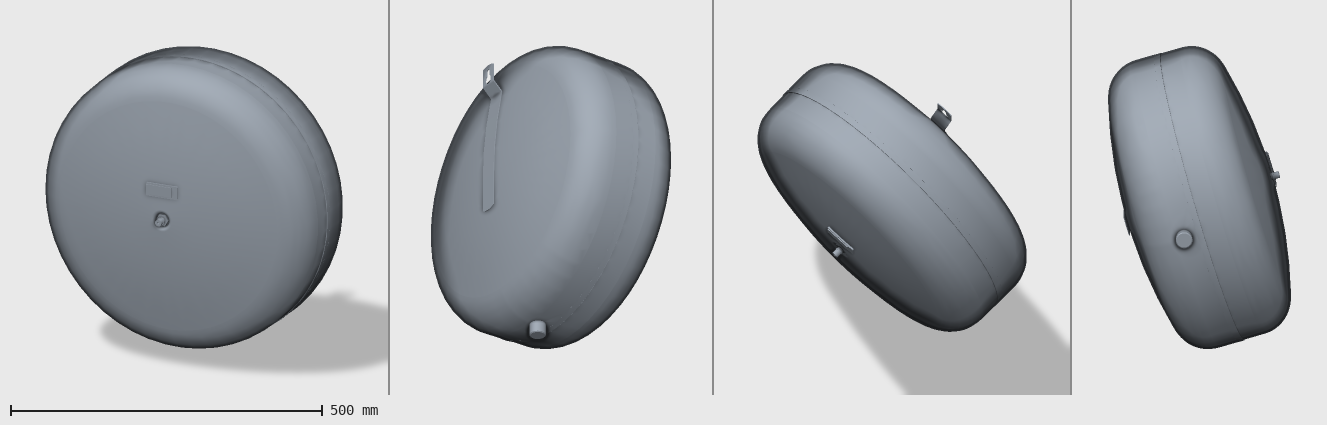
import cadquery as cq
import math

BACK_RADIUS = 240.0
FRONT_RADIUS = 239.0
BACK_WALL_END = 43.0
BACK_KNUCKLE_END = 100.5
FRONT_WALL_END = -34.0
FRONT_KNUCKLE_END = -90.0
DOME_RIM_RADIUS = 193.5
DOME_RISE = 25.5
DOME_RADIUS = (DOME_RIM_RADIUS**2 + DOME_RISE**2) / (2 * DOME_RISE)
BACK_APEX = BACK_KNUCKLE_END + DOME_RISE
FRONT_APEX = FRONT_KNUCKLE_END - DOME_RISE

BAND_WIDTH = 10.0
BAND_THICKNESS = 2.5
BAND_INNER_RADIUS = BACK_RADIUS - BAND_THICKNESS

GROOVE_WIDTH = 1.0
GROOVE_DEPTH = 1.0
GROOVE_RADIUS = FRONT_RADIUS - GROOVE_DEPTH

DIMPLE_RADIUS = 18.0
DIMPLE_FLOOR_RADIUS = 11.5
DIMPLE_DEPTH = 6.0
DIMPLE_FLOOR = FRONT_APEX + DIMPLE_DEPTH

VALVE_TIP = -128.0
VALVE_STEM_RADIUS = 5.5
VALVE_COLLAR_RADIUS = 6.5
VALVE_COLLAR_FRONT = -119.0
VALVE_COLLAR_THICKNESS = 1.5
VALVE_BORE_RADIUS = 2.0
VALVE_BORE_DEPTH = 5.0
NUT_ACROSS_FLATS = 18.0
NUT_THICKNESS = 4.5

PIPE_RADIUS = 13.25
PIPE_Y = 31.0
PIPE_END = -260.0
PIPE_CHAMFER = 1.5
PIPE_SEAT = -235.0

BRACKET_WIDTH = 30.0
BRACKET_THICKNESS = 1.5
BRACKET_TOP = 204.0
BRACKET_BEND = 169.5
BRACKET_CONTACT_TOP = 153.5
BRACKET_BOTTOM = -60.0
BRACKET_END_RISE = 3.5
BEND_INNER_RADIUS = 2.5
KEYHOLE_SLOT_WIDTH = 8.0
KEYHOLE_DIAMETER = 15.0
KEYHOLE_SLOT_TOP = 196.0
KEYHOLE_CENTER = 178.0

BADGE_WIDTH = 56.0
BADGE_HEIGHT = 22.5
BADGE_Z = 50.5
BADGE_FRONT = -115.5
BADGE_CORNER = 2.5
PANEL_LEFT = -26.5
PANEL_RIGHT = 17.5
PANEL_HEIGHT = 16.5
PANEL_THICKNESS = 1.5


def knuckle_middle(wall_radius, wall_end, knuckle_end):
    """Middle point of the arc that leaves the wall along Y and ends at the dome rim."""
    width = wall_radius - DOME_RIM_RADIUS
    length = knuckle_end - wall_end
    radius = (width**2 + length**2) / (2 * width)
    half_angle = math.asin(abs(length) / radius) / 2
    side = math.copysign(1, length)
    return (
        -(wall_radius - radius + radius * math.cos(half_angle)),
        wall_end + side * radius * math.sin(half_angle),
    )


def dome_rise(radius):
    """Height of the dome above its rim, at a distance from the Y axis."""
    return math.sqrt(DOME_RADIUS**2 - radius**2) - (DOME_RADIUS - DOME_RISE)


def outer_wall(wall_radius, wall_start, wall_end, knuckle_end, dome_end_radius):
    """Open profile of wall, knuckle and dome, ending at a distance from the Y axis."""
    side = math.copysign(1, knuckle_end)
    middle_radius = (DOME_RIM_RADIUS + dome_end_radius) / 2
    return (
        cq.Workplane("XY")
        .moveTo(-wall_radius, wall_start)
        .lineTo(-wall_radius, wall_end)
        .threePointArc(knuckle_middle(wall_radius, wall_end, knuckle_end), (-DOME_RIM_RADIUS, knuckle_end))
        .threePointArc(
            (-middle_radius, knuckle_end + side * dome_rise(middle_radius)),
            (-dome_end_radius, knuckle_end + side * dome_rise(dome_end_radius)),
        )
    )


def turn(profile):
    """Close a profile and turn it about the Y axis."""
    return profile.close().revolve(360, (0, 0, 0), (0, 1, 0))


def y_cylinder(radius, y_start, y_end):
    """Round bar on the Y axis."""
    return cq.Workplane("XZ", origin=(0, y_start, 0)).circle(radius).extrude(y_start - y_end)


def z_cylinder(radius, z_bottom, z_top):
    """Round bar on the axis of the connection pipe."""
    return cq.Workplane("XY", origin=(0, PIPE_Y, z_bottom)).circle(radius).extrude(z_top - z_bottom)


def make_band():
    """Ring whose outside is flush with the back cylinder."""
    return y_cylinder(BACK_RADIUS, 0, BAND_WIDTH).cut(y_cylinder(BAND_INNER_RADIUS, 0, BAND_WIDTH))


def make_back_bowl():
    """Back half, with the rebate for the band and the hole for the pipe."""
    profile = outer_wall(BACK_RADIUS, 0, BACK_WALL_END, BACK_KNUCKLE_END, 0).lineTo(0, 0)
    return turn(profile).cut(make_band()).cut(z_cylinder(PIPE_RADIUS, PIPE_END, PIPE_SEAT))


def make_front_bowl():
    """Front half, with the groove at its rim and the dimple at its apex."""
    rim_y = FRONT_KNUCKLE_END - dome_rise(DIMPLE_RADIUS)
    dimple_middle = (
        -DIMPLE_RADIUS + (DIMPLE_RADIUS - DIMPLE_FLOOR_RADIUS) * math.sqrt(0.5),
        DIMPLE_FLOOR + (rim_y - DIMPLE_FLOOR) * math.sqrt(0.5),
    )
    profile = (
        outer_wall(FRONT_RADIUS, -GROOVE_WIDTH, FRONT_WALL_END, FRONT_KNUCKLE_END, DIMPLE_RADIUS)
        .threePointArc(dimple_middle, (-DIMPLE_FLOOR_RADIUS, DIMPLE_FLOOR))
        .lineTo(0, DIMPLE_FLOOR)
        .lineTo(0, 0)
        .lineTo(-GROOVE_RADIUS, 0)
        .lineTo(-GROOVE_RADIUS, -GROOVE_WIDTH)
    )
    return turn(profile)


def make_nut():
    """Hexagon nut on the dimple floor, with flats at top and bottom."""
    across_corners = NUT_ACROSS_FLATS / math.cos(math.pi / 6)
    return (
        cq.Workplane("XZ", origin=(0, DIMPLE_FLOOR, 0))
        .polygon(6, across_corners)
        .circle(VALVE_STEM_RADIUS)
        .extrude(NUT_THICKNESS)
    )


def make_valve():
    """Bored stem with a collar, standing on the dimple floor inside the nut."""
    collar = y_cylinder(VALVE_COLLAR_RADIUS, VALVE_COLLAR_FRONT + VALVE_COLLAR_THICKNESS, VALVE_COLLAR_FRONT)
    bore = y_cylinder(VALVE_BORE_RADIUS, VALVE_TIP + VALVE_BORE_DEPTH, VALVE_TIP)
    return y_cylinder(VALVE_STEM_RADIUS, DIMPLE_FLOOR, VALVE_TIP).union(collar).cut(bore)


def make_pipe():
    """Pipe with a chamfered lower end."""
    return z_cylinder(PIPE_RADIUS, PIPE_END, PIPE_SEAT).faces("<Z").chamfer(PIPE_CHAMFER)


def dome_y(z, offset):
    """Y of the back dome at height z, moved outwards by an offset."""
    return BACK_APEX - DOME_RADIUS + math.sqrt((DOME_RADIUS + offset) ** 2 - z**2)


def make_strip():
    """Bent strip of constant thickness, with square ends."""
    outer_y = BACK_APEX + BRACKET_THICKNESS
    inner_z = BRACKET_CONTACT_TOP + BRACKET_THICKNESS
    middle_z = BRACKET_CONTACT_TOP / 2
    inner_bends = [(dome_y(inner_z, 0), inner_z), (BACK_APEX, BRACKET_BEND + BRACKET_THICKNESS / 2)]
    outer_bends = [
        (outer_y, BRACKET_BEND),
        (dome_y(BRACKET_CONTACT_TOP, BRACKET_THICKNESS), BRACKET_CONTACT_TOP),
    ]
    strip = (
        cq.Workplane("YZ", origin=(-BRACKET_WIDTH / 2, 0, 0))
        .moveTo(BACK_APEX, BRACKET_BOTTOM)
        .lineTo(BACK_APEX, 0)
        .threePointArc((dome_y(middle_z, 0), middle_z), inner_bends[0])
        .lineTo(*inner_bends[1])
        .lineTo(BACK_APEX, BRACKET_TOP)
        .lineTo(outer_y, BRACKET_TOP)
        .lineTo(*outer_bends[0])
        .lineTo(*outer_bends[1])
        .threePointArc((dome_y(middle_z, BRACKET_THICKNESS), middle_z), (outer_y, 0))
        .lineTo(outer_y, BRACKET_BOTTOM)
        .close()
        .extrude(BRACKET_WIDTH)
    )
    bend_outer_radius = BEND_INNER_RADIUS + BRACKET_THICKNESS
    bends = [
        (inner_bends[0], bend_outer_radius),
        (inner_bends[1], BEND_INNER_RADIUS),
        (outer_bends[0], bend_outer_radius),
        (outer_bends[1], BEND_INNER_RADIUS),
    ]
    for bend, radius in bends:
        strip = strip.edges(cq.selectors.NearestToPointSelector((0, *bend))).fillet(radius)
    return strip


def make_bracket():
    """Strip with rounded ends and a keyhole in the hook."""
    blank = (
        cq.Workplane("XZ", origin=(0, BACK_APEX + BRACKET_THICKNESS, 0))
        .moveTo(-BRACKET_WIDTH / 2, BRACKET_BOTTOM + BRACKET_END_RISE)
        .threePointArc((0, BRACKET_BOTTOM), (BRACKET_WIDTH / 2, BRACKET_BOTTOM + BRACKET_END_RISE))
        .lineTo(BRACKET_WIDTH / 2, BRACKET_TOP - BRACKET_END_RISE)
        .threePointArc((0, BRACKET_TOP), (-BRACKET_WIDTH / 2, BRACKET_TOP - BRACKET_END_RISE))
        .close()
        .extrude(BACK_APEX)
    )
    return make_strip().intersect(blank).cut(make_keyhole())


def make_keyhole():
    """Cutter for a round hole with a narrower slot above it."""
    depth = 2 * BRACKET_THICKNESS
    slot_arc_z = KEYHOLE_SLOT_TOP - KEYHOLE_SLOT_WIDTH / 2
    plane = cq.Workplane("XZ", origin=(0, BACK_APEX + BRACKET_THICKNESS, 0))
    hole = plane.center(0, KEYHOLE_CENTER).circle(KEYHOLE_DIAMETER / 2).extrude(depth)
    slot_end = plane.center(0, slot_arc_z).circle(KEYHOLE_SLOT_WIDTH / 2).extrude(depth)
    slot = (
        plane.center(0, (KEYHOLE_CENTER + slot_arc_z) / 2)
        .rect(KEYHOLE_SLOT_WIDTH, slot_arc_z - KEYHOLE_CENTER)
        .extrude(depth)
    )
    return hole.union(slot).union(slot_end)


def make_badge(front_bowl):
    """Flat-faced plate whose back follows the dome."""
    depth = FRONT_KNUCKLE_END - BADGE_FRONT
    plate = (
        cq.Workplane("XZ", origin=(0, FRONT_KNUCKLE_END, BADGE_Z))
        .rect(BADGE_WIDTH, BADGE_HEIGHT)
        .extrude(depth)
        .edges("|Y")
        .fillet(BADGE_CORNER)
    )
    return plate.cut(front_bowl)


def make_panel():
    """Raised panel on the face of the badge."""
    return (
        cq.Workplane("XZ", origin=((PANEL_LEFT + PANEL_RIGHT) / 2, BADGE_FRONT, BADGE_Z))
        .rect(PANEL_RIGHT - PANEL_LEFT, PANEL_HEIGHT)
        .extrude(PANEL_THICKNESS)
    )


back_bowl = make_back_bowl()
band = make_band()
front_bowl = make_front_bowl()
nut = make_nut()
valve = make_valve()
pipe = make_pipe()
bracket = make_bracket()
badge = make_badge(front_bowl)
panel = make_panel()

result = cq.Compound.makeCompound(
    [
        back_bowl.val(),
        band.val(),
        front_bowl.val(),
        nut.val(),
        valve.val(),
        pipe.val(),
        bracket.val(),
        badge.val(),
        panel.val(),
    ]
)